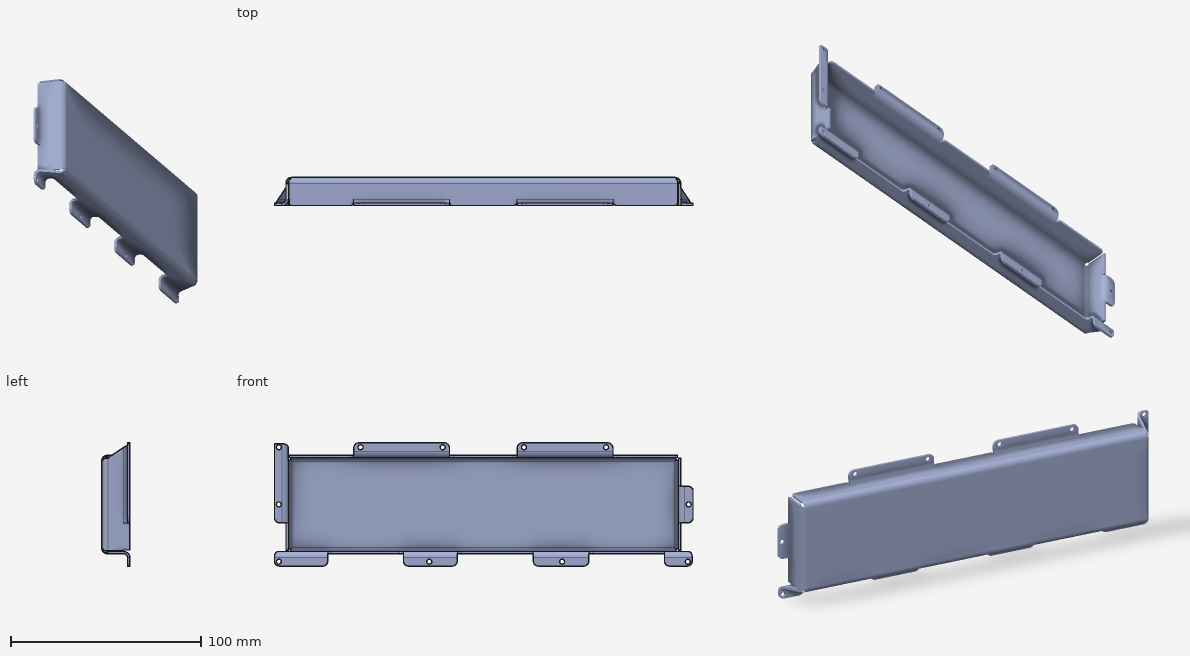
import cadquery as cq
import math

overall_length = 220.0
overall_height = 65.0
sheet = 1.3
bend_inner = 2.0
bend_outer = bend_inner + sheet
tray_width = 207.5
tray_height = 52.0
tray_depth = 15.0
corner_gap = 0.33
corner_relief_radius = 1.0

tab_overhang = (overall_height - tray_height) / 2
side_overhang = overall_length - tray_width - tab_overhang
tab_corner_radius = 2.9
hole_radius = 1.25
hole_edge_distance = 2.5

half_width = tray_width / 2
half_height = tray_height / 2
mid_arc = math.sqrt(0.5)
wall_bend_y = tray_depth - bend_outer

top_tab_center = 43.0
top_tab_length = 50.4
top_hole_spacing = 43.1
edge_round = 2.0

bottom_edge_y = 5.5
bottom_fillet = 2.0
bottom_end = half_width + side_overhang
end_hole = bottom_end - hole_edge_distance
bottom_tabs = (
    (-bottom_end, -81.6, -end_hole),
    (-42.0, -13.6, -28.4),
    (26.2, 55.5, 41.4),
    (95.0, bottom_end, end_hole),
)

taper_mid_y = 6.2
taper_mid_share = 0.5

side_tab_low = -9.7
left_tab_top = half_height + side_overhang
left_hole_top = overall_height / 2 - hole_edge_distance
left_tip_radius = 0.9
right_tab_half = 9.7

RIGHT, BOTTOM, LEFT = 90, 180, -90


def make_tray():
    inner_width = tray_width - 2 * sheet
    inner_height = tray_height - 2 * sheet
    low_corner = (True, False, True)
    outer = cq.Workplane("XY").box(tray_width, tray_depth, tray_height, centered=low_corner)
    outer = outer.faces(">Y").edges().fillet(bend_outer)
    inner = cq.Workplane("XY").box(inner_width, tray_depth - sheet, inner_height, centered=low_corner)
    inner = inner.faces(">Y").edges().fillet(bend_inner)
    tray = outer.cut(inner)

    corner = sheet + corner_gap
    for side_x in (-1, 1):
        for side_z in (-1, 1):
            notch = cq.Workplane("XY").box(2 * corner, 2 * tray_depth, 2 * corner)
            tray = tray.cut(notch.translate((side_x * half_width, tray_depth, side_z * half_height)))
            relief = cq.Workplane("XZ").circle(corner_relief_radius).extrude(-bend_outer)
            relief_x = side_x * (half_width - corner)
            relief_z = side_z * (half_height - corner)
            tray = tray.cut(relief.translate((relief_x, wall_bend_y, relief_z)))
    return tray


def make_tab(wall_distance, start, end, holes, overhang, end_radius=tab_corner_radius):
    """Wall strip, bend and drilled flange standing on a top wall at Z = wall_distance."""
    inner_face = wall_distance - sheet
    edge = wall_distance + overhang
    bend_z = wall_distance + bend_inner
    strip = (
        cq.Workplane("YZ", origin=(start, 0, 0))
        .moveTo(wall_bend_y, inner_face)
        .lineTo(bend_outer, inner_face)
        .threePointArc((bend_outer * (1 - mid_arc), bend_z - bend_outer * mid_arc), (0, bend_z))
        .lineTo(0, edge)
        .lineTo(sheet, edge)
        .lineTo(sheet, bend_z)
        .threePointArc(
            (bend_outer - bend_inner * mid_arc, bend_z - bend_inner * mid_arc),
            (bend_outer, wall_distance),
        )
        .lineTo(wall_bend_y, wall_distance)
        .close()
        .extrude(end - start)
    )
    strip = strip.edges("|Y and <X").edges(">Z").fillet(tab_corner_radius)
    strip = strip.edges("|Y and >X").edges(">Z").fillet(end_radius)
    drill = (
        cq.Workplane("XZ")
        .pushPoints([(x, edge - hole_edge_distance) for x in holes])
        .circle(hole_radius)
        .extrude(-bend_outer)
    )
    return strip.cut(drill)


def end_taper(wall_distance, wall_end, tip):
    """Prism that trims the wall and bend of a tab running past the end of its wall."""
    reach = tip - wall_end
    return (
        cq.Workplane("XY")
        .moveTo(wall_end, wall_bend_y)
        .threePointArc((wall_end + taper_mid_share * reach, taper_mid_y), (tip, 0))
        .lineTo(tip + sheet, 0)
        .lineTo(tip + sheet, wall_bend_y)
        .close()
        .extrude(wall_distance + bend_inner)
    )


def clear_edge(wall_distance, start, end, depth):
    """Block that removes the front edge of a top wall between two places."""
    block = cq.Workplane("XY").box(end - start, depth, 2 * sheet, centered=(False, False, True))
    return block.translate((start, 0, wall_distance - sheet / 2))


def turn(shape, angle):
    return shape.rotate((0, 0, 0), (0, 1, 0), angle)


def rounded_corner_cut(x, direction):
    """Sliver that rounds a front corner of the top wall; the wall lies toward direction."""
    mid = edge_round * (1 - mid_arc)
    return (
        cq.Workplane("XY", origin=(0, 0, half_height - 1.5 * sheet))
        .moveTo(x, 0)
        .lineTo(x + direction * edge_round, 0)
        .threePointArc((x + direction * mid, mid), (x, edge_round))
        .close()
        .extrude(2 * sheet)
    )


result = make_tray()

wall_end = half_width - sheet - corner_gap
for side in (-1, 1):
    center = side * top_tab_center
    start = center - top_tab_length / 2
    end = center + top_tab_length / 2
    holes = (center - top_hole_spacing / 2, center + top_hole_spacing / 2)
    result = result.cut(clear_edge(half_height, start, end, bend_outer))
    result = result.cut(rounded_corner_cut(start, -1))
    result = result.cut(rounded_corner_cut(end, 1))
    result = result.cut(rounded_corner_cut(side * wall_end, -side))
    result = result.union(make_tab(half_height, start, end, holes, tab_overhang))

for left_tab, right_tab in zip(bottom_tabs, bottom_tabs[1:]):
    gap = clear_edge(half_height, -right_tab[0], -left_tab[1], bottom_edge_y)
    gap = gap.edges("|Z and >Y").fillet(bottom_fillet)
    result = result.cut(turn(gap, BOTTOM))
taper = end_taper(half_height, wall_end, bottom_end)
tapers = taper.union(taper.mirror("YZ"))
for start, end, hole in bottom_tabs:
    result = result.cut(turn(clear_edge(half_height, -end, -start, bend_outer), BOTTOM))
    tab = make_tab(half_height, -end, -start, [-hole], tab_overhang)
    result = result.union(turn(tab.cut(tapers), BOTTOM))

side_wall_end = half_height - sheet - corner_gap
result = result.cut(turn(clear_edge(half_width, side_tab_low, left_tab_top, bend_outer), LEFT))
left_tab = make_tab(
    half_width, side_tab_low, left_tab_top, (0, left_hole_top), side_overhang, left_tip_radius
)
result = result.union(turn(left_tab.cut(end_taper(half_width, side_wall_end, left_tab_top)), LEFT))

result = result.cut(turn(clear_edge(half_width, -right_tab_half, right_tab_half, bend_outer), RIGHT))
right_tab = make_tab(half_width, -right_tab_half, right_tab_half, [0], tab_overhang)
result = result.union(turn(right_tab, RIGHT))